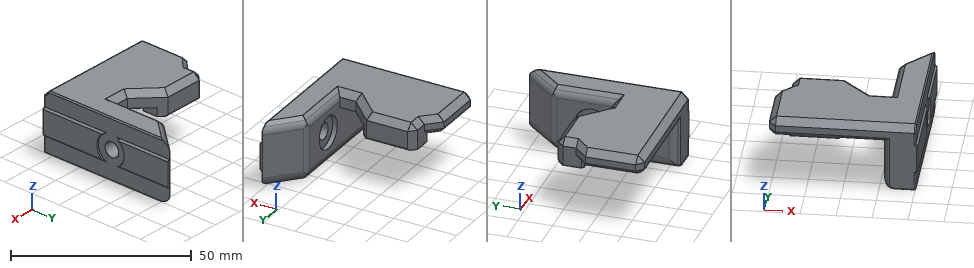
import cadquery as cq
import math

length_x = 41.6
length_y = 46.3
height = 20.0
bevel_angle = 45.0

edge_bevel = 2.0
plate_back_y = 18.5
lobe_back_y = 26.5
lobe_left_x = 4.0
lobe_right_x = 19.05
lobe_left_start_y = 20.6
left_side_end_y = lobe_left_start_y - lobe_left_x
lobe_right_end_x = lobe_right_x + lobe_back_y - plate_back_y

side_band = 2.0
trim_depth = 5.2
plate_thickness = 2 * edge_bevel + side_band
bevel_top_z = height - edge_bevel
bevel_bottom_z = bevel_top_z - side_band
plate_bottom_z = height - plate_thickness
trim_z = height - trim_depth

pad_start_x = 5.75
pad_end_x = 19.45
lip_depth = 8.0
lip_end_x = 21.15
lip_front_bevel = 0.6
lip_bottom_bevel = 0.55

rail_height = 0.6
wall_left_x = 32.0
wall_right_x = length_x - rail_height
wall_edge_bevel = 0.4
slant_start_y = 36.6
slant_end_x = 40.75
edge_round = 3.0

plate_end_x = wall_left_x + 2 * edge_bevel

rail_bottom_z = 6.0
rail_top_z = 14.0
rail_flank = 0.6

hole_y = 25.15
hole_z = height / 2
hole_diameter = 5.0
counterbore_diameter = 10.0
counterbore_depth = 1.5


def plate_outline(inset, back_inset):
    """Square-cornered plate outline, moved in by inset on the front and left, back_inset on the back."""
    miter_shift = back_inset * math.tan(math.radians(bevel_angle / 2))
    return [
        (inset, inset),
        (plate_end_x, inset),
        (plate_end_x, plate_back_y - back_inset),
        (lobe_right_end_x - miter_shift, plate_back_y - back_inset),
        (lobe_right_x - miter_shift, lobe_back_y - back_inset),
        (lobe_left_x + inset, lobe_back_y - back_inset),
        (lobe_left_x + inset, lobe_left_start_y),
        (inset, left_side_end_y),
    ]


def ruled_band(lower_points, lower_z, upper_points, upper_z):
    """Solid with flat sides between two outlines at different heights."""
    return (
        cq.Workplane("XY")
        .workplane(offset=lower_z)
        .polyline(lower_points)
        .close()
        .workplane(offset=upper_z - lower_z)
        .polyline(upper_points)
        .close()
        .loft(ruled=True, combine=True)
    )


def stacked_bands(bottom_points, side_points, top_points):
    """Upright side band with a bevelled band below and above it."""
    lower = ruled_band(bottom_points, plate_bottom_z, side_points, bevel_bottom_z)
    middle = ruled_band(side_points, bevel_bottom_z, side_points, bevel_top_z)
    upper = ruled_band(side_points, bevel_top_z, top_points, height)
    return lower.union(middle).union(upper)


def corner_cutter(x, y, y_direction):
    """Cuts a left corner at 45 degrees, leaning inward along the bevels above and below."""
    def triangle(size):
        return [(x, y), (x + size, y), (x, y + y_direction * size)]

    leaned = triangle(2 * edge_bevel)
    return stacked_bands(leaned, triangle(edge_bevel), leaned)


def block(x_start, x_end, y_start, y_end, z_start, z_end):
    size = (x_end - x_start, y_end - y_start, z_end - z_start)
    return cq.Workplane("XY").box(*size, centered=False).translate((x_start, y_start, z_start))


def make_plate():
    """Bevelled plate, full thickness only at the pad, with the lip below its lobe."""
    plate = stacked_bands(
        plate_outline(edge_bevel, 0),
        plate_outline(0, 0),
        plate_outline(edge_bevel, edge_bevel),
    )
    for x_start, x_end in ((0, pad_start_x), (pad_end_x, plate_end_x)):
        plate = plate.cut(block(x_start, x_end, 0, lobe_back_y, plate_bottom_z, trim_z))
    plate = plate.cut(corner_cutter(0, 0, 1)).cut(corner_cutter(lobe_left_x, lobe_back_y, -1))
    return plate.union(make_lip())


def make_lip():
    """Hook below the lobe, following its back outline."""
    lip_end_y = lobe_back_y - (lip_end_x - lobe_right_x)
    points = [
        (lobe_left_x + lip_front_bevel, plate_back_y),
        (lip_end_x - lip_front_bevel, plate_back_y),
        (lip_end_x, plate_back_y + lip_front_bevel),
        (lip_end_x, lip_end_y),
        (lobe_right_x, lobe_back_y),
        (lobe_left_x + edge_bevel, lobe_back_y),
        (lobe_left_x, lobe_back_y - edge_bevel),
        (lobe_left_x, plate_back_y + lip_front_bevel),
    ]
    lip_bottom_z = height - lip_depth
    lip = cq.Workplane("XY").workplane(offset=lip_bottom_z).polyline(points).close()
    lip = lip.extrude(bevel_bottom_z - lip_bottom_z)
    return lip.faces(">Y").edges("<Z").chamfer(lip_bottom_bevel)


def round_edge(body, point):
    """Rounds the edge whose middle is nearest to the point."""
    return body.edges(cq.selectors.NearestToPointSelector(point)).fillet(edge_round)


def round_profile_edges(bar):
    """Rounds the corners of the wall's -X profile on a bar along Y."""
    y = bar.val().Center().y
    bar = round_edge(bar, (wall_left_x, y, edge_bevel))
    bar = round_edge(bar, (wall_left_x, y, height - edge_bevel))
    return round_edge(bar, (wall_left_x + edge_bevel, y, 0))


def wall_profile(right_points):
    """XZ outline of the wall: bevelled -X side, closed by the given points from bottom to top."""
    points = [
        (wall_left_x, height - edge_bevel),
        (wall_left_x, edge_bevel),
        (wall_left_x + edge_bevel, 0),
    ]
    points = points + right_points + [(wall_left_x + edge_bevel, height)]
    return cq.Workplane("XZ").polyline(points).close()


def straight_bar():
    """Straight stretch of the wall with its rail, bevelled all around the front end."""
    bevel = wall_edge_bevel
    profile = wall_profile([
        (wall_right_x - bevel, 0),
        (wall_right_x, bevel),
        (wall_right_x, rail_bottom_z - rail_flank),
        (length_x, rail_bottom_z),
        (length_x, rail_top_z),
        (wall_right_x, rail_top_z + rail_flank),
        (wall_right_x, height - bevel),
        (wall_right_x - bevel, height),
    ])
    bar = round_profile_edges(profile.extrude(-length_y))
    front_end = bar.faces("<Y").wires().toPending().workplane().extrude(bevel, taper=bevel_angle)
    return front_end.translate((0, bevel, 0))


def slanted_bar():
    """Bar with the wall's -X profile, turned to run along the slanted back end."""
    reach = wall_left_x + length_y
    bar = wall_profile([(reach, 0), (reach, height)]).extrude(length_y, both=True)
    pivot = (wall_left_x, 0, 0)
    slant_angle = math.degrees(math.atan2(slant_end_x - wall_left_x, length_y - slant_start_y))
    bar = round_profile_edges(bar).rotate(pivot, (wall_left_x, 0, 1), -slant_angle)
    return bar.translate((0, slant_start_y, 0))


def wall_plan():
    """Upright prism with the wall's plan outline; its front edge profile starts just ahead of y = 0."""
    front_y = -wall_edge_bevel
    points = [
        (wall_left_x + edge_bevel, front_y),
        (length_x, front_y),
        (length_x, length_y),
        (slant_end_x, length_y),
        (wall_left_x, slant_start_y),
        (wall_left_x, front_y + edge_bevel),
    ]
    plan = cq.Workplane("XY").polyline(points).close().extrude(height)
    plan = round_edge(plan, (wall_left_x, slant_start_y, hole_z))
    plan = round_edge(plan, (wall_left_x, front_y + edge_bevel, hole_z))
    plan = round_edge(plan, (wall_left_x + edge_bevel, front_y, hole_z))
    return plan.intersect(block(0, length_x, 0, length_y, 0, height))


def disc(diameter, x_start, x_end):
    """Cylinder along X on the screw axis."""
    base = cq.Workplane("YZ").workplane(offset=x_start).center(hole_y, hole_z)
    return base.circle(diameter / 2).extrude(x_end - x_start)


def make_wall():
    """Wall with its rail, interrupted around the screw hole."""
    wall = wall_plan().intersect(straight_bar()).intersect(slanted_bar())
    return wall.cut(disc(counterbore_diameter, wall_right_x, length_x))


def bevel_front_top(body):
    """Large bevel along the front top edge and a small one where it meets the wall's +X face."""
    large = edge_bevel
    small = wall_edge_bevel
    front = cq.Workplane("YZ").polyline([(0, height), (large, height), (0, height - large)])
    body = body.cut(front.close().extrude(length_x))
    side = cq.Workplane("XY").polyline([
        (wall_right_x, 0),
        (wall_right_x - small, 0),
        (wall_right_x, small),
    ])
    side = side.close().extrude(2 * large, both=True)
    side = side.rotate((0, 0, 0), (1, 0, 0), -bevel_angle)
    return body.cut(side.translate((0, 0, bevel_top_z)))


body = bevel_front_top(make_plate().union(make_wall()))
body = body.cut(disc(hole_diameter, wall_left_x, length_x))
result = body.cut(disc(counterbore_diameter, wall_left_x, wall_left_x + counterbore_depth))